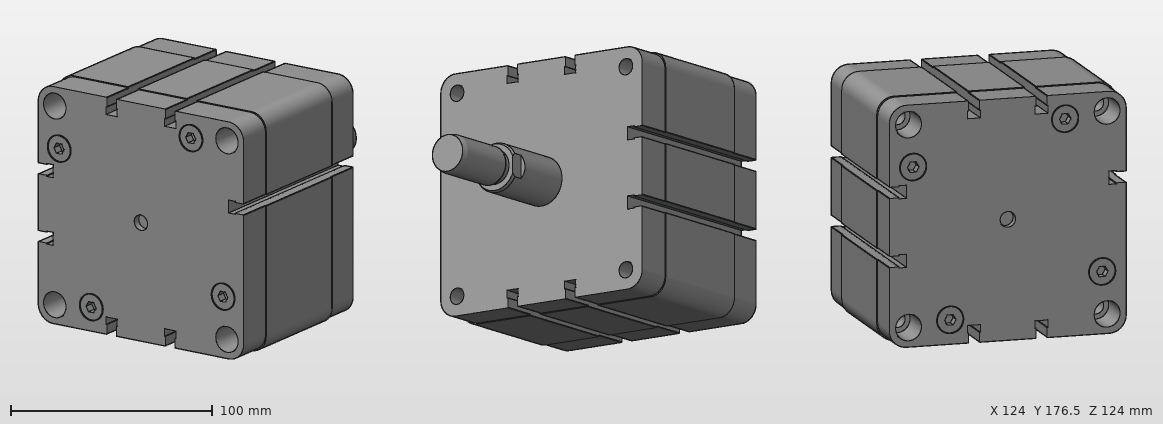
import cadquery as cq

overall_length = 176.5
barrel_side = 124.0
cap_side = 123.0
corner_radius = 9.0
cap_length = 19.2
barrel_length = 58.2
body_length = 2 * cap_length + barrel_length

slot_spacing = 35.1
slot_mouth_width = 5.6
slot_mouth_depth = 5.1
slot_head_width = 6.7
slot_depth = 9.0
slot_lip_chamfer = 0.26

mount_spacing = 103.0
mount_hole_diameter = 8.3
mount_counterbore_diameter = 13.5
mount_counterbore_depth = 19.0
port_diameter = 8.0
port_depth = 4.0
screw_near_offset = 29.8
screw_far_offset = 49.0
screw_recess_diameter = 14.0
screw_head_diameter = 13.5
screw_gap_depth = 0.5
socket_corner_diameter = 6.0
socket_depth = 5.0

rod_diameter = 25.0
rod_chamfer = 0.7
rod_chamfer_length = 1.8
flat_width = 22.0
flat_length = 6.9
neck_diameter = 17.5
thread_diameter = 20.0
thread_length = 36.7
thread_tip_diameter = 18.5
thread_tip_length = 3.5
thread_end_chamfer = 0.9
shoulder_to_tip = 40.0

body_rear = 0.0
body_front = body_rear + body_length
tip = body_rear + overall_length
shoulder = tip - shoulder_to_tip


def plane_at(y):
    """XZ plane at the given Y, with its normal pointing along +Y and local x reversed from X."""
    return cq.Workplane(cq.Plane(origin=(0, y, 0), xDir=(-1, 0, 0), normal=(0, 1, 0)))


def rounded_block(side, length, y):
    return plane_at(y).rect(side, side).extrude(length).edges("|Y").fillet(corner_radius)


def cylinder(diameter, length, y, x=0.0, z=0.0):
    return plane_at(y).center(-x, z).circle(diameter / 2).extrude(length)


def make_body():
    rear_cap = rounded_block(cap_side, cap_length, body_rear)
    barrel = rounded_block(barrel_side, barrel_length, body_rear + cap_length)
    front_cap = rounded_block(cap_side, cap_length, body_front - cap_length)
    return rear_cap.union(barrel).union(front_cap)


def slot_segment(side, y, length):
    """T-slot with a chamfered mouth, opening upward from a block of the given side length."""
    surface = side / 2
    floor = cap_side / 2 - slot_depth
    head_top = cap_side / 2 - slot_mouth_depth
    mouth_half = slot_mouth_width / 2
    head_half = slot_head_width / 2
    lip_half = mouth_half + slot_lip_chamfer
    right_side = [
        (head_half, floor),
        (head_half, head_top),
        (mouth_half, head_top),
        (mouth_half, surface - slot_lip_chamfer),
        (lip_half, surface),
    ]
    left_side = [(-x, z) for x, z in reversed(right_side)]
    return plane_at(y).polyline(right_side + left_side).close().extrude(length)


def t_slot(offset, angle):
    """Slot opening upward at x = offset, then turned about Y to another side."""
    slot = slot_segment(cap_side, body_rear, cap_length)
    slot = slot.union(slot_segment(barrel_side, body_rear + cap_length, barrel_length))
    slot = slot.union(slot_segment(cap_side, body_front - cap_length, cap_length))
    return slot.translate((offset, 0, 0)).rotate((0, 0, 0), (0, 1, 0), angle)


def cut_slots(body):
    half = slot_spacing / 2
    slots = [(-half, 0), (half, 0), (-half, 180), (half, 180), (-half, -90), (half, -90), (-half, 90)]
    for offset, angle in slots:
        body = body.cut(t_slot(offset, angle))
    return body


def cut_mounting_holes(body):
    half = mount_spacing / 2
    for x in (-half, half):
        for z in (-half, half):
            body = body.cut(cylinder(mount_hole_diameter, body_length, body_rear, x, z))
            body = body.cut(cylinder(mount_counterbore_diameter, mount_counterbore_depth, body_rear, x, z))
    return body


def cut_cap_screws(body):
    """Outline four flush screw heads with a thin ring gap and a hexagon socket each."""
    near, far = screw_near_offset, screw_far_offset
    for x, z in ((near, far), (-far, near), (-near, -far), (far, -near)):
        gap = cylinder(screw_recess_diameter, screw_gap_depth, body_rear, x, z)
        gap = gap.cut(cylinder(screw_head_diameter, screw_gap_depth, body_rear, x, z))
        socket = plane_at(body_rear).center(-x, z).polygon(6, socket_corner_diameter).extrude(socket_depth)
        body = body.cut(gap).cut(socket)
    return body


def make_rod():
    rod_radius = rod_diameter / 2
    thread_radius = thread_diameter / 2
    thread_end = tip - thread_length
    profile = [
        (0, body_front),
        (rod_radius, body_front),
        (rod_radius, shoulder - rod_chamfer_length),
        (rod_radius - rod_chamfer, shoulder),
        (neck_diameter / 2, shoulder),
        (neck_diameter / 2, thread_end),
        (thread_radius - thread_end_chamfer, thread_end),
        (thread_radius, thread_end + thread_end_chamfer),
        (thread_radius, tip - thread_tip_length),
        (thread_tip_diameter / 2, tip),
        (0, tip),
    ]
    rod = cq.Workplane("XY").polyline(profile).close().revolve(360, (0, 0, 0), (0, 1, 0))

    flat = flat_width / 2
    run_out = rod_radius - flat
    flat_end = shoulder - flat_length
    for side in (-1, 1):
        outline = [
            (side * flat, shoulder),
            (side * flat, flat_end),
            (side * rod_radius, flat_end - run_out),
            (side * rod_radius, shoulder),
        ]
        rod = rod.cut(cq.Workplane("XY").polyline(outline).close().extrude(rod_radius, both=True))
    return rod


body = cut_slots(make_body())
body = cut_mounting_holes(body)
body = body.cut(cylinder(port_diameter, port_depth, body_rear))
body = cut_cap_screws(body)
result = body.union(make_rod())